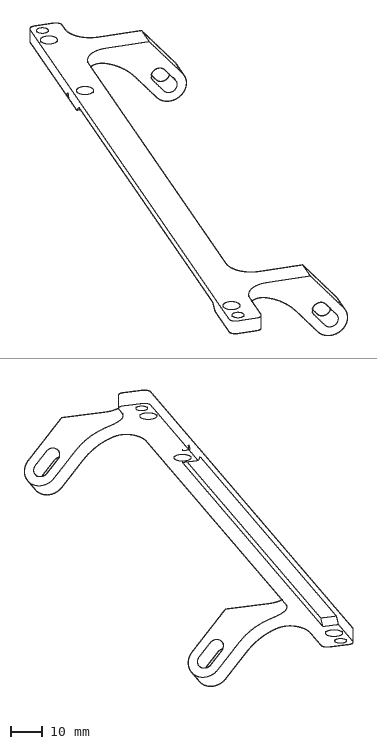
import cadquery as cq
import math

bar_length = 208.8
bar_depth = 10.6
bar_thickness = 4.5
corner_radius = 2.0

arm_centres = (-87.0, 78.7)
arm_width = 8.0
arm_root_radius = 8.4
overall_depth = 46.0
overall_height = 22.5
bend_angle = math.radians(50)
lug_radius = 5.6
underside_radius = 20.9
slot_radius = 2.5
slot_travel = 5.6

end_hole_y = 3.5
bar_holes = (
    (-100.6, end_hole_y, 3.8),
    (-94.0, end_hole_y, 5.5),
    (-58.0, 4.0, 5.5),
    (94.0, end_hole_y, 5.5),
    (100.6, end_hole_y, 3.8),
)

step_start = -54.3
step_end = 87.7
step_height = 2.0
step_depth = 5.2

pin_hole_x = -63.5
pin_hole_z = -3.8
pin_hole_diameter = 1.5
pin_hole_depth = 2.0

slope_y = math.cos(bend_angle)
slope_z = -math.sin(bend_angle)
normal_y = math.sin(bend_angle)
normal_z = math.cos(bend_angle)
lug_y = overall_depth - lug_radius
lug_z = lug_radius - overall_height


def make_plate():
    """Flat bar and arm tops, with rounded inside corners, down to the lowest level."""
    bar = (
        cq.Workplane("XY")
        .box(bar_length, bar_depth, overall_height, centered=(True, False, False))
        .edges("|Z")
        .fillet(corner_radius)
    )
    for x in arm_centres:
        arm = cq.Workplane("XY").box(
            arm_width, overall_depth, overall_height, centered=(True, False, False)
        )
        bar = bar.union(arm.translate((x, 0, 0)))
    margin = 0.2
    roots = cq.selectors.BoxSelector(
        (-bar_length / 2 + corner_radius, bar_depth - margin, -margin),
        (bar_length / 2 - corner_radius, bar_depth + margin, overall_height + margin),
    )
    plate = bar.edges("|Z").edges(roots).fillet(arm_root_radius)
    return plate.translate((0, 0, -overall_height))


def make_side_profile():
    """Side outline of bar and bent arm, extruded along the full bar length."""
    upper_y = lug_y + lug_radius * normal_y
    upper_z = lug_z + lug_radius * normal_z
    bend_y = upper_y + upper_z / math.tan(bend_angle)
    lower_y = lug_y - lug_radius * normal_y
    lower_z = lug_z - lug_radius * normal_z

    meet_y = lower_y + (lower_z + bar_thickness) / math.tan(bend_angle)
    tangent = underside_radius * math.tan(bend_angle / 2)
    arc_start_y = meet_y - tangent
    arc_end = (meet_y + tangent * slope_y, -bar_thickness + tangent * slope_z)
    arc_middle = (
        arc_start_y + underside_radius * math.sin(bend_angle / 2),
        -bar_thickness - underside_radius * (1 - math.cos(bend_angle / 2)),
    )
    lug_tip = (lug_y + lug_radius * slope_y, lug_z + lug_radius * slope_z)
    return (
        cq.Workplane("YZ")
        .moveTo(0, 0)
        .lineTo(bend_y, 0)
        .lineTo(upper_y, upper_z)
        .threePointArc(lug_tip, (lower_y, lower_z))
        .lineTo(*arc_end)
        .threePointArc(arc_middle, (arc_start_y, -bar_thickness))
        .lineTo(0, -bar_thickness)
        .close()
        .extrude(bar_length / 2, both=True)
    )


def make_lug_slots():
    """Slot through both lugs, running up the slope from the lug centre."""
    middle_y = lug_y - slope_y * slot_travel / 2
    middle_z = lug_z - slope_z * slot_travel / 2
    return (
        cq.Workplane("YZ")
        .center(middle_y, middle_z)
        .slot2D(slot_travel + 2 * slot_radius, 2 * slot_radius, -math.degrees(bend_angle))
        .extrude(bar_length / 2, both=True)
    )


def make_edge_step():
    """Material removed along the lower front edge."""
    return (
        cq.Workplane("XZ")
        .polyline([
            (step_start, -bar_thickness),
            (step_start + step_height, step_height - bar_thickness),
            (step_end - step_height, step_height - bar_thickness),
            (step_end, -bar_thickness),
        ])
        .close()
        .extrude(-step_depth)
    )


def make_pin_hole():
    """Small hole drilled into the front face, close to the bottom edge."""
    return (
        cq.Workplane("XZ")
        .center(pin_hole_x, pin_hole_z)
        .circle(pin_hole_diameter / 2)
        .extrude(-pin_hole_depth)
    )


result = make_plate().intersect(make_side_profile())
result = result.cut(make_lug_slots()).cut(make_edge_step()).cut(make_pin_hole())
for x, y, diameter in bar_holes:
    hole = cq.Workplane("XY").center(x, y).circle(diameter / 2).extrude(-bar_thickness)
    result = result.cut(hole)